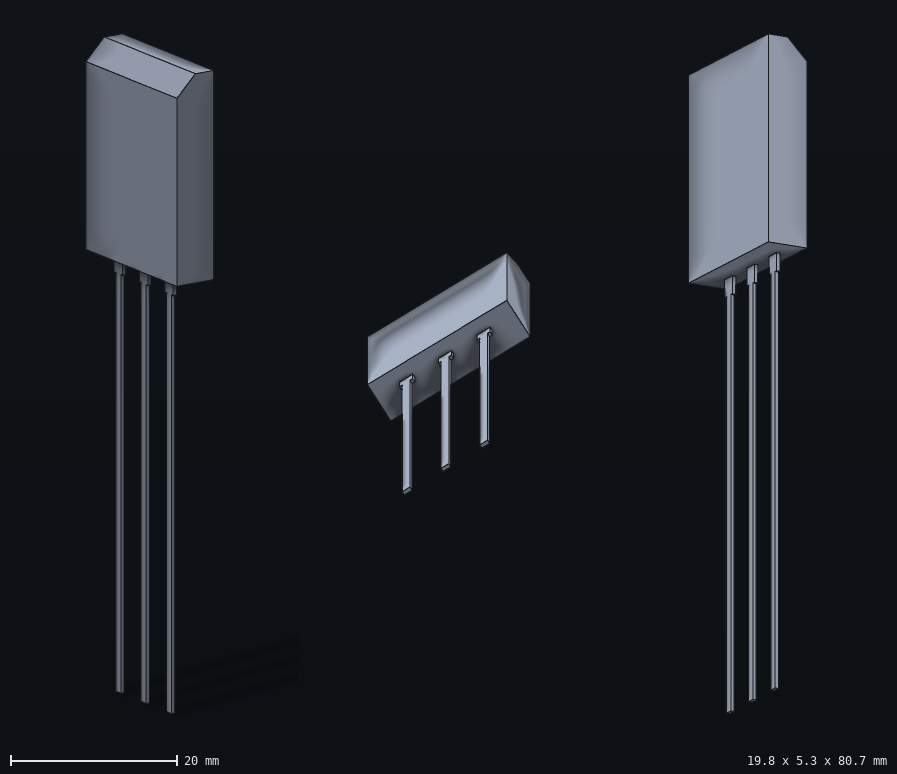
import cadquery as cq

total_height = 80.7
body_width = 19.8
body_depth = 5.3
body_height = 26.1
body_chamfer = 2.7

lead_count = 3
lead_pitch = 5.5
lead_thickness = 0.5
lead_width = 1.1
shoulder_width = 1.85
shoulder_height = 2.25
lead_setback = 2.0

front_y = -body_depth / 2
back_y = body_depth / 2
lead_y = front_y + lead_setback
lead_length = total_height - body_height


def make_body():
    """Rectangular package with its top front edge cut at 45 degrees."""
    profile = [
        (front_y, 0),
        (back_y, 0),
        (back_y, body_height),
        (front_y + body_chamfer, body_height),
        (front_y, body_height - body_chamfer),
    ]
    return cq.Workplane("YZ").polyline(profile).close().extrude(body_width / 2, both=True)


def make_lead(center_x):
    """Flat lead hanging from the body, with a wider shoulder at its top."""
    half_shoulder = shoulder_width / 2
    half_lead = lead_width / 2
    outline = [
        (-half_shoulder, 0),
        (half_shoulder, 0),
        (half_shoulder, -shoulder_height),
        (half_lead, -shoulder_height),
        (half_lead, -lead_length),
        (-half_lead, -lead_length),
        (-half_lead, -shoulder_height),
        (-half_shoulder, -shoulder_height),
    ]
    lead = cq.Workplane("XZ").polyline(outline).close().extrude(lead_thickness / 2, both=True)
    return lead.translate((center_x, lead_y, 0))


body = make_body()

leads = []
for index in range(lead_count):
    lead_x = (index - (lead_count - 1) / 2) * lead_pitch
    leads.append(make_lead(lead_x))

result = cq.Compound.makeCompound([body.val(), *[lead.val() for lead in leads]])